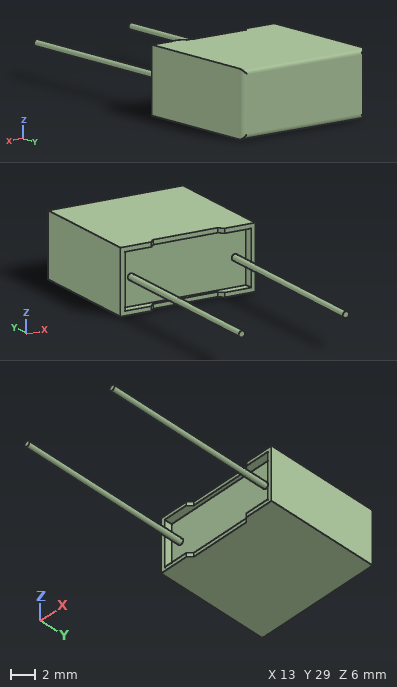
import cadquery as cq

total_length = 29.0
case_width = 13.0
case_length = 12.0
case_height = 6.0
wall = 0.44
back_edge_radius = 0.5

notch_depth = 0.44
notch_mouth_width = 7.08
notch_floor_width = notch_mouth_width - 2 * notch_depth

resin_recess = 0.8

lead_diameter = 0.6
lead_spacing = 10.0
lead_tip_y = case_length - total_length


def block(width, height, front_y, back_y):
    """Box centred on the Y axis, running from front_y to back_y."""
    return (
        cq.Workplane("XY")
        .box(width, back_y - front_y, height, centered=(True, False, True))
        .translate((0, front_y, 0))
    )


def make_cavity(front_y):
    """Inside volume of the case, from front_y to the back wall."""
    return block(case_width - 2 * wall, case_height - 2 * wall, front_y, case_length - wall)


def make_notch():
    """Trapezoid prism that cuts the mouth edge of both wide walls."""
    return (
        cq.Workplane("XY")
        .polyline([
            (-notch_mouth_width / 2, 0),
            (notch_mouth_width / 2, 0),
            (notch_floor_width / 2, notch_depth),
            (-notch_floor_width / 2, notch_depth),
        ])
        .close()
        .extrude(case_height / 2, both=True)
    )


def make_case():
    """Thin-walled box with a rounded back rim and a notched mouth."""
    shell = block(case_width, case_height, 0, case_length)
    shell = shell.faces(">Y").edges().fillet(back_edge_radius)
    return shell.cut(make_cavity(0)).cut(make_notch())


def make_resin():
    """Filling of the case, with its face set back from the mouth."""
    return make_cavity(resin_recess)


def make_lead(x):
    """Round wire standing on the resin face, pointing along -Y."""
    return (
        cq.Workplane("XZ", origin=(x, resin_recess, 0))
        .circle(lead_diameter / 2)
        .extrude(resin_recess - lead_tip_y)
    )


case = make_case()
resin = make_resin()
leads = [make_lead(side * lead_spacing / 2) for side in (-1, 1)]

result = cq.Compound.makeCompound([
    case.val(),
    resin.val(),
    *[lead.val() for lead in leads],
])